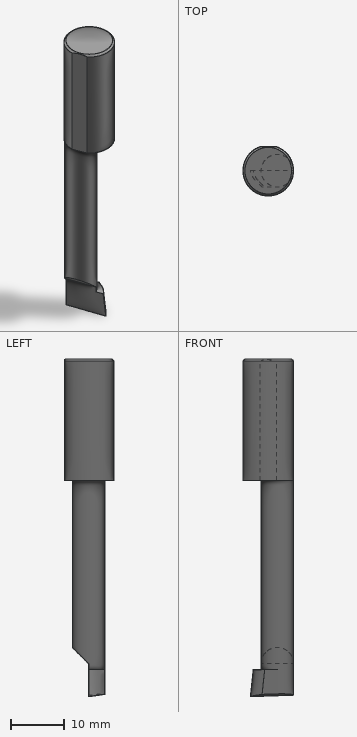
import cadquery as cq
import math

total_length = 63.5
shank_radius = 4.75
shank_bottom = 40.65
shank_flat_y = 4.5
chamfer = 0.4

neck_radius = 3.05
neck_x = shank_radius - neck_radius

recess_height = 6.2
recess_slope = math.radians(45)

head_height = 5.1
tip_x = -3.35
flank_x = -2.15
flank_y = -2.15
heel_x = -1.2
side_relief = math.radians(6)
end_clearance_x = math.radians(2)
end_clearance_y = math.radians(7)


def make_shank():
    length = total_length - shank_bottom
    shank = cq.Workplane("XY").workplane(offset=shank_bottom).circle(shank_radius).extrude(length)
    shank = shank.faces(">Z").edges().chamfer(chamfer)
    flat_cut = cq.Workplane("XY").box(
        2 * shank_radius, shank_radius, total_length, centered=(True, False, False)
    )
    return shank.cut(flat_cut.translate((0, shank_flat_y, 0)))


def make_neck():
    neck = cq.Workplane("XY").center(neck_x, 0).circle(neck_radius).extrude(shank_bottom)
    recess_depth = 2 * neck_radius
    recess_top = recess_height + recess_depth * math.tan(recess_slope)
    recess = (
        cq.Workplane("YZ")
        .polyline([(0, 0), (recess_depth, 0), (recess_depth, recess_top), (0, recess_height)])
        .close()
        .extrude(2 * shank_radius, both=True)
    )
    return neck.cut(recess)


def head_outline(height):
    """Head outline at a given height; the relieved flanks lean toward +X as they rise."""
    lean = height * math.tan(side_relief)
    return (
        cq.Workplane("XY")
        .workplane(offset=height)
        .moveTo(neck_x, 0)
        .lineTo(neck_x, -neck_radius)
        .lineTo(heel_x + lean, -neck_radius)
        .lineTo(flank_x + lean, flank_y)
        .tangentArcPoint((tip_x + lean, 0), relative=False)
        .close()
        .wire()
        .val()
    )


def make_head():
    return cq.Workplane(cq.Solid.makeLoft([head_outline(0), head_outline(head_height)], True))


def end_clearance():
    """Wedge below the end face, which rises from the tip toward +X and toward -Y."""
    normal = cq.Vector(-math.tan(end_clearance_x), math.tan(end_clearance_y), 1)
    end_plane = cq.Plane(origin=(tip_x, 0, 0), normal=normal)
    cutter_side = 4 * shank_radius
    return cq.Workplane(end_plane).rect(cutter_side, cutter_side).extrude(-shank_radius)


tool = make_shank().union(make_neck()).union(make_head())
result = tool.cut(end_clearance())